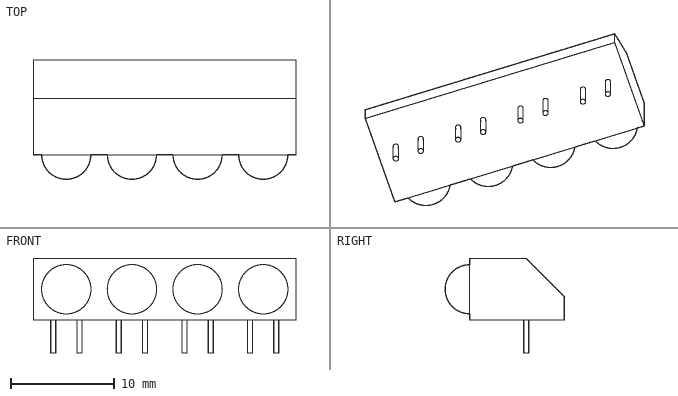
import cadquery as cq

length = 25.4
depth = 9.17
height = 6.0
bevel = 3.7

lens_count = 4
lens_pitch = length / lens_count
lens_diameter = 4.78
lens_height = 3.0

lead_spacing = 2.55
lead_diameter = 0.5
lead_length = 3.18
lead_setback = 5.49

lens_positions = [(i - (lens_count - 1) / 2) * lens_pitch for i in range(lens_count)]


def make_housing():
    """Bar with the front face at Y = 0 and the underside at Z = 0."""
    profile = [
        (0, 0),
        (depth, 0),
        (depth, height - bevel),
        (depth - bevel, height),
        (0, height),
    ]
    return cq.Workplane("YZ").polyline(profile).close().extrude(length / 2, both=True)


def make_lens(x):
    """Sphere centred on the front face, so that half of it stands proud."""
    return cq.Workplane("XY").sphere(lens_diameter / 2).translate((x, 0, lens_height))


def make_lead(x):
    """Round lead hanging from the underside."""
    return (
        cq.Workplane("XY")
        .center(x, lead_setback)
        .circle(lead_diameter / 2)
        .extrude(-lead_length)
    )


result = make_housing()
for lens_x in lens_positions:
    result = result.union(make_lens(lens_x))
    for side in (-1, 1):
        result = result.union(make_lead(lens_x + side * lead_spacing / 2))